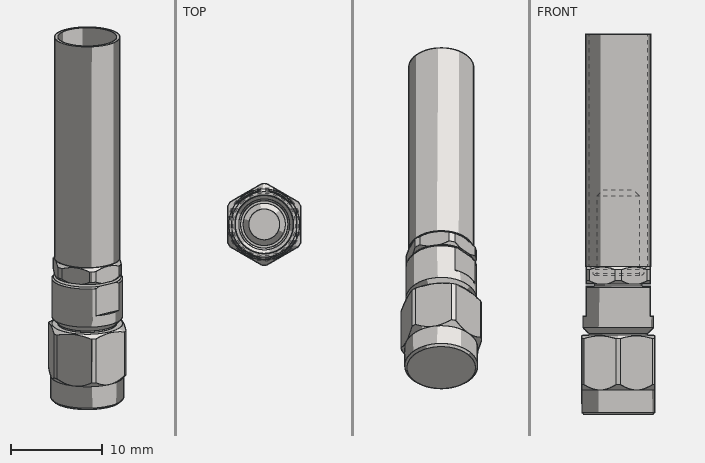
import cadquery as cq

overall_length = 41.4
collar_top = 2.7
nut_top = 8.65
cone_bottom = 8.8
flats_bottom = 10.7
body_top = 14.0
groove_top = 14.25
lock_hex_top = 16.15

nut_across_flats = 7.95
nut_across_corners = 8.9
nut_top_end_diameter = 7.7
nut_top_bevel = 0.37
nut_bottom_bevel = 0.6
collar_chamfer = 0.25

neck_diameter = 6.4
body_diameter = 7.7
body_top_chamfer = 0.15
wrench_flats = 7.0
groove_diameter = 5.2
lock_hex_top_end_diameter = 6.8
lock_hex_bottom_bevel = 0.35
lock_hex_top_bevel = 0.37

sleeve_diameter = 7.1
sleeve_bore = 6.4
socket_mouth_diameter = 6.3
socket_diameter = 5.55
socket_floor_diameter = 5.15
socket_depth = 1.0
stem_diameter = 4.6
stem_tip_diameter = 3.35
stem_length = 8.28


def cylinder(diameter, bottom, top):
    return cq.Workplane("XY").workplane(offset=bottom).circle(diameter / 2).extrude(top - bottom)


def revolve_profile(points):
    """Turn a closed (radius, height) outline about the Z axis."""
    return cq.Workplane("XZ").polyline(points).close().revolve(360, (0, 0, 0), (0, 1, 0))


def beveled_hexagon(across_flats, corner_diameter, bottom, top, bottom_end, top_end):
    """Hexagon with flats facing +X and -X, its corners turned round and beveled at both ends.

    bottom_end and top_end are each the (face diameter, bevel height) of that end.
    """
    bottom_diameter, bottom_bevel = bottom_end
    top_diameter, top_bevel = top_end
    prism = (
        cq.Workplane("XY")
        .workplane(offset=bottom)
        .polygon(6, across_flats, circumscribed=True)
        .extrude(top - bottom)
    )
    corner_radius = corner_diameter / 2
    envelope = revolve_profile([
        (0, bottom),
        (bottom_diameter / 2, bottom),
        (corner_radius, bottom + bottom_bevel),
        (corner_radius, top - top_bevel),
        (top_diameter / 2, top),
        (0, top),
    ])
    return prism.intersect(envelope)


def make_nut():
    collar = cylinder(nut_across_flats, 0, collar_top).faces("<Z").chamfer(collar_chamfer)
    hexagon = beveled_hexagon(
        nut_across_flats, nut_across_corners, collar_top, nut_top,
        bottom_end=(nut_across_flats, nut_bottom_bevel),
        top_end=(nut_top_end_diameter, nut_top_bevel),
    )
    return collar.union(hexagon)


def make_body():
    neck_radius = neck_diameter / 2
    body_radius = body_diameter / 2
    cone_top = cone_bottom + body_radius - neck_radius
    body = revolve_profile([
        (0, nut_top),
        (neck_radius, nut_top),
        (neck_radius, cone_bottom),
        (body_radius, cone_top),
        (body_radius, body_top - body_top_chamfer),
        (body_radius - body_top_chamfer, body_top),
        (0, body_top),
    ])
    flats_height = body_top - flats_bottom
    between_flats = (
        cq.Workplane("XY")
        .workplane(offset=flats_bottom)
        .rect(wrench_flats, 2 * body_diameter)
        .extrude(flats_height)
    )
    outside_flats = cylinder(2 * body_diameter, flats_bottom, body_top).cut(between_flats)
    return body.cut(outside_flats)


def make_lock_hexagon():
    groove = cylinder(groove_diameter, body_top, groove_top)
    hexagon = beveled_hexagon(
        wrench_flats, body_diameter, groove_top, lock_hex_top,
        bottom_end=(sleeve_diameter, lock_hex_bottom_bevel),
        top_end=(lock_hex_top_end_diameter, lock_hex_top_bevel),
    )
    return groove.union(hexagon)


def make_sleeve():
    return cylinder(sleeve_diameter, lock_hex_top, overall_length).cut(
        cylinder(sleeve_bore, lock_hex_top, overall_length)
    )


def make_socket():
    """Round socket with a 45 degree lead-in at the mouth and a 45 degree bevel at the floor."""
    mouth_radius = socket_mouth_diameter / 2
    wall_radius = socket_diameter / 2
    floor_radius = socket_floor_diameter / 2
    floor = lock_hex_top - socket_depth
    return revolve_profile([
        (0, floor),
        (floor_radius, floor),
        (wall_radius, floor + wall_radius - floor_radius),
        (wall_radius, lock_hex_top - (mouth_radius - wall_radius)),
        (mouth_radius, lock_hex_top),
        (0, lock_hex_top),
    ])


def make_stem():
    tip_bevel = (stem_diameter - stem_tip_diameter) / 2
    stem = cylinder(stem_diameter, lock_hex_top - socket_depth, lock_hex_top + stem_length)
    return stem.faces(">Z").chamfer(tip_bevel)


result = (
    make_nut()
    .union(make_body())
    .union(make_lock_hexagon())
    .union(make_sleeve())
    .cut(make_socket())
    .union(make_stem())
)